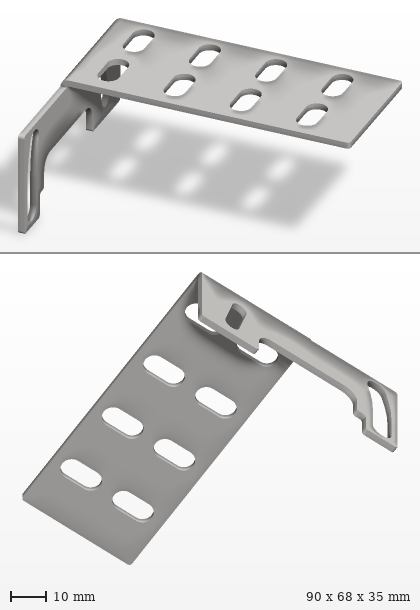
import cadquery as cq
import math

flange_length = 90.0
flange_width = 38.0
wall_length = 68.0
wall_bottom = -35.0
thickness = 2.0
bend_radius = 2.5
corner_radius = 1.0
wall_top = -bend_radius

foot_bottom = -27.2
notch_rear = -19.9
notch_front = -53.9
notch_top = -17.2
notch_radius = 4.5
leg_rear = -57.0

slot_width = 6.5
slot_length = 13.05
first_slot_x = 11.9
slot_pitch_x = 20.6
slot_columns = 4
rear_row_y = -9.5
row_pitch = 18.0
slot_rows = 2

tilted_slot_radius = 2.4
tilted_slot_top = (-13.05, -10.1)
tilted_slot_bottom = (-10.5, -21.2)

curved_slot_radius = 3.2
curved_slot_y = -62.6
curved_slot_bottom = -29.9
curved_slot_tangent = -20.5
curve_radius = 44.1
curve_angle = math.radians(17)


def make_flange():
    plate = (
        cq.Workplane("XY")
        .box(flange_length - bend_radius, flange_width, thickness, centered=False)
        .translate((bend_radius, -flange_width, -thickness))
    )
    return plate.edges("|Z and >X").fillet(corner_radius)


def make_bend():
    inner_radius = bend_radius - thickness
    diagonal = math.sqrt(0.5)
    outer_mid = bend_radius * (1 - diagonal)
    inner_mid = bend_radius - inner_radius * diagonal
    return (
        cq.Workplane("XZ")
        .moveTo(0, -bend_radius)
        .threePointArc((outer_mid, -outer_mid), (bend_radius, 0))
        .lineTo(bend_radius, -thickness)
        .threePointArc((inner_mid, -inner_mid), (thickness, -bend_radius))
        .close()
        .extrude(flange_width)
    )


def make_wall():
    outline = [
        (0, wall_top),
        (0, foot_bottom),
        (notch_rear, foot_bottom),
        (notch_rear, notch_top),
        (notch_front, notch_top),
        (notch_front, foot_bottom),
        (leg_rear, foot_bottom),
        (leg_rear, wall_bottom),
        (-wall_length, wall_bottom),
        (-wall_length, wall_top),
    ]
    wall = cq.Workplane("YZ").polyline(outline).close().extrude(thickness)

    def round_corners(body, corners, radius):
        for y, z in corners:
            nearest = cq.selectors.NearestToPointSelector((thickness / 2, y, z))
            body = body.edges("|X").edges(nearest).fillet(radius)
        return body

    wall = round_corners(wall, outline[3:5], notch_radius)
    return round_corners(wall, outline[1:3] + outline[5:], corner_radius)


def flange_slots():
    columns = [first_slot_x + i * slot_pitch_x for i in range(slot_columns)]
    rows = [rear_row_y - i * row_pitch for i in range(slot_rows)]
    return (
        cq.Workplane("XY")
        .pushPoints([(x, y) for x in columns for y in rows])
        .slot2D(slot_length, slot_width, 90)
        .extrude(-thickness)
    )


def tilted_slot():
    top_y, top_z = tilted_slot_top
    bottom_y, bottom_z = tilted_slot_bottom
    rise = top_z - bottom_z
    run = top_y - bottom_y
    return (
        cq.Workplane("YZ")
        .center((top_y + bottom_y) / 2, (top_z + bottom_z) / 2)
        .slot2D(
            math.hypot(run, rise) + 2 * tilted_slot_radius,
            2 * tilted_slot_radius,
            math.degrees(math.atan2(rise, run)),
        )
        .extrude(thickness)
    )


def curved_slot():
    def on_curve(radius, angle):
        y = curved_slot_y + curve_radius - radius * math.cos(angle)
        return (y, curved_slot_tangent + radius * math.sin(angle))

    inner = curve_radius - curved_slot_radius
    outer = curve_radius + curved_slot_radius
    half_angle = curve_angle / 2
    end_y, end_z = on_curve(curve_radius, curve_angle)
    tip = (
        end_y + curved_slot_radius * math.sin(curve_angle),
        end_z + curved_slot_radius * math.cos(curve_angle),
    )
    front_y = curved_slot_y - curved_slot_radius
    rear_y = curved_slot_y + curved_slot_radius
    return (
        cq.Workplane("YZ")
        .moveTo(front_y, curved_slot_bottom)
        .lineTo(front_y, curved_slot_tangent)
        .threePointArc(on_curve(outer, half_angle), on_curve(outer, curve_angle))
        .threePointArc(tip, on_curve(inner, curve_angle))
        .threePointArc(on_curve(inner, half_angle), (rear_y, curved_slot_tangent))
        .lineTo(rear_y, curved_slot_bottom)
        .threePointArc((curved_slot_y, curved_slot_bottom - curved_slot_radius), (front_y, curved_slot_bottom))
        .close()
        .extrude(thickness)
    )


bracket = make_flange().union(make_bend()).union(make_wall())
result = bracket.cut(flange_slots()).cut(tilted_slot()).cut(curved_slot())